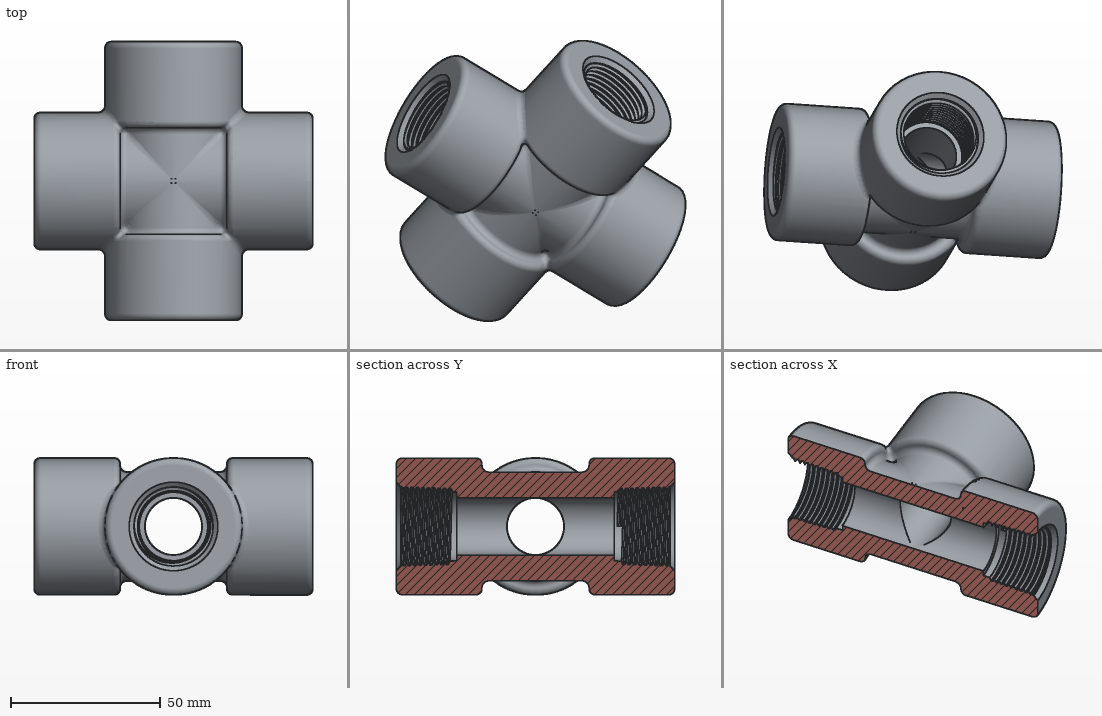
import cadquery as cq
import math

span = 93.5
half_span = span / 2
socket_radius = 46.0 / 2
core_radius = 18.3
recess_half_width = 17.85
blend_radius = 2.15
mouth_round = 2.2

through_diameter = 19.1
chamfer_outer_diameter = 29.7
chamfer_inner_diameter = 26.5
chamfer_depth = 1.6

thread_length = 18.1
thread_turns = 10
thread_pitch = thread_length / thread_turns
thread_start = chamfer_depth - thread_pitch * 2 / 3
thread_height = 1.1
crest_radius_at_mouth = 24.2 / 2
crest_flat = 0.1
flank_angle = 27.5
taper = 1 / 32
bore_depth = thread_start + thread_length + thread_pitch

tolerance = 0.001
centre_gap = 1.4
below_recess_rim = 13.55
overlap = 0.05
above_part = 2 * socket_radius


def crest_radius(depth):
    return crest_radius_at_mouth - taper * depth


def crossed_cylinders(radius, half_length, end_round=0):
    """Equal cylinders along X and Y, with optionally rounded ends."""
    along_x = cq.Workplane("YZ").circle(radius).extrude(half_length, both=True)
    if end_round:
        along_x = along_x.faces("<X or >X").edges().fillet(end_round)
    return along_x.union(along_x.rotate((0, 0, 0), (0, 0, 1), 90))


def quadrant_block(half_width):
    """Upper block over x, y > 0, clipped short of the Z axis where the creases fade out."""
    outline = [
        (centre_gap, 0),
        (half_width, 0),
        (half_width, half_width),
        (0, half_width),
        (0, centre_gap),
    ]
    return cq.Workplane("XY").polyline(outline).close().extrude(above_part)


def edges_where(solid, condition):
    """Edges on which the condition holds at points spread along the edge."""
    def matches(edge):
        return all(condition(edge.positionAt(t)) for t in (0.1, 0.5, 0.9))

    return solid.newObject([edge for edge in solid.edges().vals() if matches(edge)])


def near(a, b):
    return abs(a - b) < tolerance


def on_diagonal(point):
    return near(point.x, point.y)


def on_recess_floor_or_corner(point):
    on_wall = near(max(point.x, point.y), recess_half_width)
    inside = min(point.x, point.y) > tolerance and point.z < above_part - tolerance
    return on_diagonal(point) or (on_wall and inside)


def on_recess_rim(point):
    reach = max(point.x, point.y)
    on_wall = recess_half_width - blend_radius / 3 < reach < recess_half_width + tolerance
    return on_wall and min(point.x, point.y) > tolerance and abs(point.z) > below_recess_rim


def quadrant_recess():
    """Space above the thinner core, rounded where its walls and floor meet."""
    space = quadrant_block(recess_half_width).cut(crossed_cylinders(core_radius, half_span))
    return edges_where(space, on_recess_floor_or_corner).fillet(blend_radius)


def body_quadrant():
    """Two half sockets meeting at a rounded crease, recessed above and below the core."""
    block = quadrant_block(half_span)
    sockets = crossed_cylinders(socket_radius, half_span, mouth_round)
    sockets = sockets.intersect(block.union(block.mirror("XY")))
    sockets = edges_where(sockets, on_diagonal).fillet(blend_radius)
    recess = quadrant_recess()
    recessed = sockets.cut(recess).cut(recess.mirror("XY"))
    return edges_where(recessed, on_recess_rim).fillet(blend_radius)


def centre_post():
    """Middle of the core, filling the gap left between the quadrants."""
    outline = [(centre_gap, 0), (0, centre_gap), (-centre_gap, 0), (0, -centre_gap)]
    column = cq.Workplane("XY").polyline(outline).close().extrude(above_part, both=True)
    return crossed_cylinders(core_radius, recess_half_width).intersect(column)


def body():
    quadrant = body_quadrant()
    quadrants = [quadrant.rotate((0, 0, 0), (0, 0, 1), 90 * turn).val() for turn in range(4)]
    return cq.Workplane(obj=centre_post().val().fuse(*quadrants)).clean()


def bore_cutter():
    """Mouth chamfer, tapered bore and thread, entering along +Z from z = 0."""
    bore = (
        cq.Workplane("XZ")
        .lineTo(chamfer_outer_diameter / 2, 0)
        .lineTo(chamfer_inner_diameter / 2, chamfer_depth)
        .lineTo(crest_radius(chamfer_depth), chamfer_depth)
        .lineTo(crest_radius(bore_depth), bore_depth)
        .lineTo(0, bore_depth)
        .close()
        .revolve(360, (0, 0, 0), (0, 1, 0))
    )
    return bore.union(thread_groove())


def thread_groove():
    """Helical groove shape, narrowing outward from the crests to the thread root."""
    start_radius = crest_radius(thread_start)
    taper_angle = math.degrees(math.atan(taper))
    helix = cq.Wire.makeHelix(
        thread_pitch,
        thread_length,
        start_radius,
        cq.Vector(0, 0, thread_start),
        angle=-taper_angle,
    )
    flank_slope = math.tan(math.radians(flank_angle))
    half_base = (thread_pitch - crest_flat) / 2 + overlap * flank_slope
    half_tip = half_base - (thread_height + overlap) * flank_slope
    profile = [
        (start_radius - overlap, thread_start - half_base),
        (start_radius + thread_height, thread_start - half_tip),
        (start_radius + thread_height, thread_start + half_tip),
        (start_radius - overlap, thread_start + half_base),
    ]
    return cq.Workplane("XZ").polyline(profile).close().sweep(cq.Workplane(obj=helix), isFrenet=True)


cutter = bore_cutter().translate((0, 0, -half_span)).rotate((0, 0, 0), (1, 0, 0), -90)
cutters = [cutter.rotate((0, 0, 0), (0, 0, 1), 90 * turn).val() for turn in range(4)]
passages = crossed_cylinders(through_diameter / 2, half_span)
result = cq.Workplane(obj=body().val().cut(*cutters)).cut(passages)